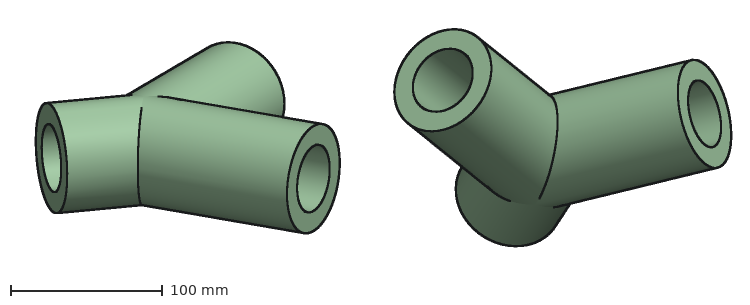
import cadquery as cq
import math

overall_width = 231.2
overall_depth = 179.2
outer_diameter = 73.0
bore_diameter = 45.0
branch_angle = 45.0

angle = math.radians(branch_angle)
outer_radius = outer_diameter / 2
branch_length = (overall_width / 2 - outer_radius * math.cos(angle)) / math.sin(angle)
branch_reach = branch_length * math.cos(angle) + outer_radius * math.sin(angle)
stem_length = overall_depth - branch_reach

pipes = [
    (cq.Vector(0, -1, 0), stem_length),
    (cq.Vector(math.sin(angle), math.cos(angle), 0), branch_length),
    (cq.Vector(-math.sin(angle), math.cos(angle), 0), branch_length),
]


def joined_cylinders(diameter):
    """Union of one cylinder per pipe, all of the same diameter."""
    cylinders = []
    for direction, length in pipes:
        cylinders.append(cq.Solid.makeCylinder(diameter / 2, length, cq.Vector(0, 0, 0), direction))
    return cq.Workplane(obj=cylinders[0].fuse(*cylinders[1:]))


result = joined_cylinders(outer_diameter).cut(joined_cylinders(bore_diameter))